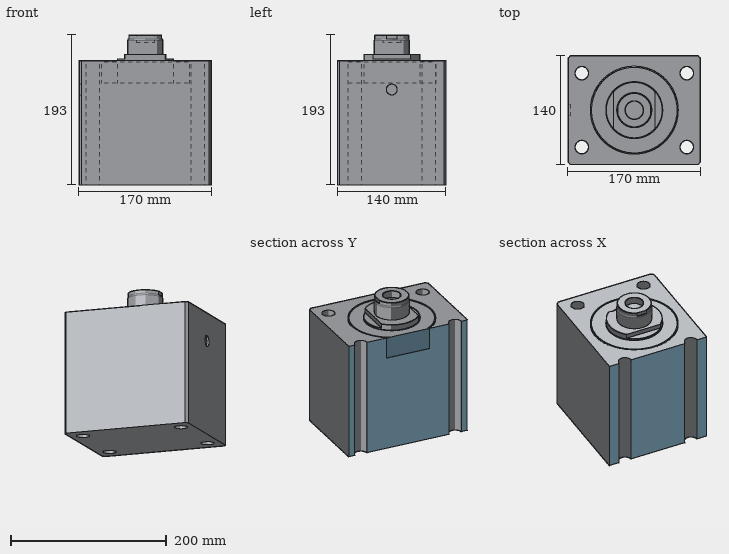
import cadquery as cq

HOUSING_X = 170.0
HOUSING_Y = 140.0
OVERALL_HEIGHT = 193.0
ROD_RISE = 33.0
HOUSING_HEIGHT = OVERALL_HEIGHT - ROD_RISE
CORNER_CHAMFER = 3.0

BOLT_HOLE_DIAMETER = 17.0
BOLT_SPACING_X = 135.0
BOLT_SPACING_Y = 95.0

PORT_DIAMETER = 13.9
PORT_DROP = 37.0
PORT_DEPTH = 2.9

GLAND_DIAMETER = 113.1
GLAND_DEPTH = 29.0
GLAND_CHAMFER = 1.5
LIP_DIAMETER = 73.3
LIP_HEIGHT = 0.5

SHAFT_DIAMETER = 72.0
SHOULDER_TOP = 8.3
SHOULDER_CHAMFER = 0.4
WRENCH_FLAT_BOTTOM = 2.3
WRENCH_FLAT_WIDTH = 53.0
NECK_DIAMETER = 45.2
NECK_TOP = 26.0
TIP_DIAMETER = 44.2
TIP_BOTTOM = 28.2
TIP_FLAT_WIDTH = 42.0
TIP_CHAMFER = 0.5
ROD_BORE_DIAMETER = 23.2
ROD_BORE_CHAMFER = 0.4
ROD_BORE_DEPTH = 9.6


def cylinder(diameter, bottom, top):
    """Upright cylinder on the Z axis between two heights."""
    return cq.Workplane("XY").workplane(offset=bottom).circle(diameter / 2).extrude(top - bottom)


def flatted_cylinder(diameter, width, bottom, top, rim_chamfer):
    """Upright cylinder with a chamfered top rim, cut to a width across flats facing -X and +X."""
    slab = cq.Workplane("XY").box(width, diameter, top - bottom, centered=(True, True, False))
    round_body = cylinder(diameter, bottom, top).faces(">Z").chamfer(rim_chamfer)
    return round_body.intersect(slab.translate((0, 0, bottom)))


def make_housing():
    block = cq.Workplane("XY").box(HOUSING_X, HOUSING_Y, HOUSING_HEIGHT)
    block = block.translate((0, 0, -HOUSING_HEIGHT / 2)).edges("|Z").chamfer(CORNER_CHAMFER)
    bolt_holes = (
        cq.Workplane("XY")
        .rarray(BOLT_SPACING_X, BOLT_SPACING_Y, 2, 2)
        .circle(BOLT_HOLE_DIAMETER / 2)
        .extrude(-HOUSING_HEIGHT)
    )
    port = (
        cq.Workplane("YZ", origin=(-HOUSING_X / 2, 0, -PORT_DROP))
        .circle(PORT_DIAMETER / 2)
        .extrude(PORT_DEPTH)
    )
    recess = cylinder(GLAND_DIAMETER, -GLAND_DEPTH, 0)
    return block.cut(bolt_holes).cut(port).cut(recess)


def make_gland():
    flange = cylinder(GLAND_DIAMETER, -GLAND_DEPTH, 0).faces(">Z").chamfer(GLAND_CHAMFER)
    lip = cylinder(LIP_DIAMETER, 0, LIP_HEIGHT)
    rod_bore = cylinder(SHAFT_DIAMETER, -GLAND_DEPTH, LIP_HEIGHT)
    return flange.union(lip).cut(rod_bore)


def make_piston_rod():
    shaft = cylinder(SHAFT_DIAMETER, -GLAND_DEPTH, WRENCH_FLAT_BOTTOM)
    shoulder = flatted_cylinder(
        SHAFT_DIAMETER, WRENCH_FLAT_WIDTH, WRENCH_FLAT_BOTTOM, SHOULDER_TOP, SHOULDER_CHAMFER
    )
    neck = cylinder(NECK_DIAMETER, SHOULDER_TOP, NECK_TOP)
    taper = (
        cq.Workplane("XY", origin=(0, 0, NECK_TOP))
        .circle(NECK_DIAMETER / 2)
        .workplane(offset=TIP_BOTTOM - NECK_TOP)
        .circle(TIP_DIAMETER / 2)
        .loft()
    )
    tip = flatted_cylinder(TIP_DIAMETER, TIP_FLAT_WIDTH, TIP_BOTTOM, ROD_RISE, TIP_CHAMFER)
    bore = cylinder(ROD_BORE_DIAMETER, ROD_RISE - ROD_BORE_DEPTH, ROD_RISE)
    rod = shaft.union(shoulder).union(neck).union(taper).union(tip).cut(bore)
    bore_rim = cq.selectors.RadiusNthSelector(0)
    return rod.faces(">Z").edges(bore_rim).chamfer(ROD_BORE_CHAMFER)


housing = make_housing()
gland = make_gland()
piston_rod = make_piston_rod()

result = cq.Compound.makeCompound([housing.val(), gland.val(), piston_rod.val()])